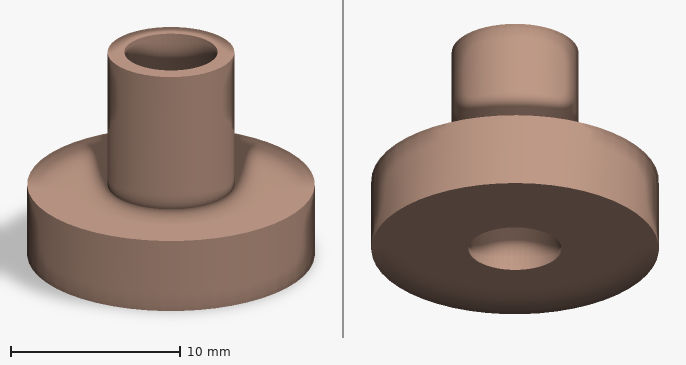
import cadquery as cq

flange_diameter = 17.0
flange_thickness = 4.5
sleeve_diameter = 7.5
bore_diameter = 5.5
total_height = 13.0

sleeve_length = total_height - flange_thickness

flange = cq.Workplane("XY").circle(flange_diameter / 2).extrude(flange_thickness)

bushing = flange.faces(">Z").workplane().circle(sleeve_diameter / 2).extrude(sleeve_length)

result = bushing.faces(">Z").workplane().hole(bore_diameter)